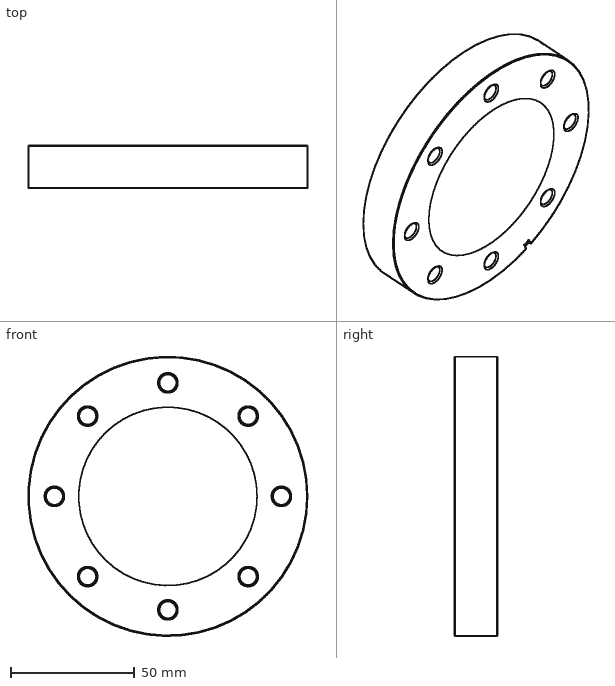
import cadquery as cq
import math

flange_diameter = 113.5
flange_radius = flange_diameter / 2
thickness = 17.5
rim_chamfer = 0.3

bore_diameter = 72.4
recess_depth = 4.8

hole_count = 8
hole_pitch_angle = 360 / hole_count
bolt_circle_radius = 46.1
hole_diameter = 6.8
hole_chamfer = 0.7

notch_width = 3.0
notch_depth = 1.4
notch_length = 3.4
notch_angle = -90 - hole_pitch_angle / 2

front_y = -thickness / 2
back_y = thickness / 2


def disc_along_y(diameter, y_start, length):
    """Solid cylinder on the Y axis, running from y_start towards +Y."""
    plane = cq.Workplane("XZ", origin=(0, y_start, 0))
    return plane.circle(diameter / 2).extrude(-length)


def bolt_hole(angle):
    """Cutter for one through hole, widened by a chamfer at each face."""
    radius = hole_diameter / 2
    wide_radius = radius + hole_chamfer
    return (
        cq.Workplane("XY")
        .moveTo(0, front_y)
        .lineTo(wide_radius, front_y)
        .lineTo(radius, front_y + hole_chamfer)
        .lineTo(radius, back_y - hole_chamfer)
        .lineTo(wide_radius, back_y)
        .lineTo(0, back_y)
        .close()
        .revolve(360, (0, 0, 0), (0, 1, 0))
        .translate((
            bolt_circle_radius * math.cos(math.radians(angle)),
            0,
            bolt_circle_radius * math.sin(math.radians(angle)),
        ))
    )


def rim_notch():
    """Cutter for the radial notch; its angle is measured from +X towards +Z."""
    return (
        cq.Workplane("XY")
        .box(notch_length, notch_depth, notch_width)
        .translate((flange_radius - notch_length / 2, back_y - notch_depth / 2, 0))
        .rotate((0, 0, 0), (0, 1, 0), -notch_angle)
    )


def make_flange_ring():
    """Outer ring with chamfered rim, central bore, bolt holes and rim notch."""
    ring = disc_along_y(flange_diameter, front_y, thickness).edges().chamfer(rim_chamfer)
    ring = ring.cut(disc_along_y(bore_diameter, front_y, thickness))
    for index in range(hole_count):
        ring = ring.cut(bolt_hole(index * hole_pitch_angle))
    return ring.cut(rim_notch())


def make_blank_disc():
    """Disc filling the bore from the recess floor to the +Y face."""
    return disc_along_y(bore_diameter, front_y + recess_depth, thickness - recess_depth)


flange_ring = make_flange_ring()
blank_disc = make_blank_disc()

result = cq.Compound.makeCompound([flange_ring.val(), blank_disc.val()])